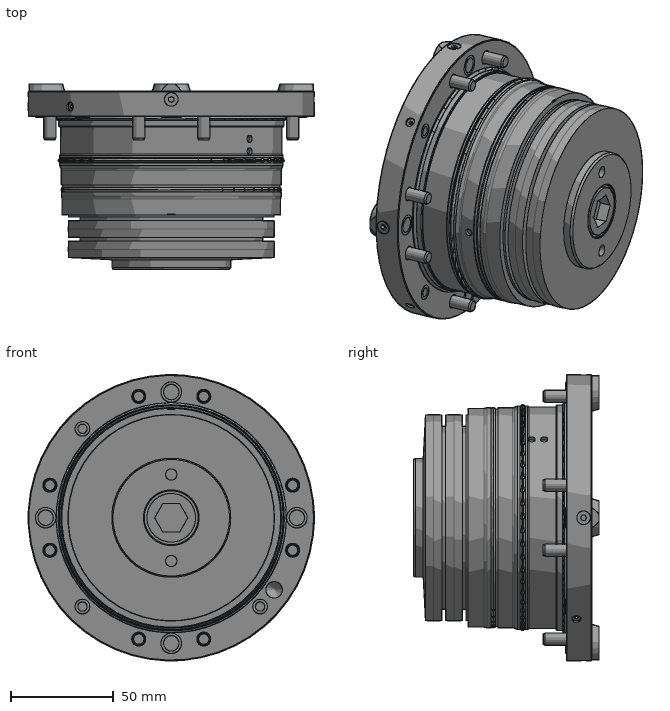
import math

import cadquery as cq


flange_radius = 69.5
flange_thickness = 12.5
flange_chamfer = 0.4
pitch_radius = 61.0

collar_start, collar_end, collar_radius = 1.5, 4.9, 54.8
collar_chamfer = 0.4
body_radius = 53.85
rib_lead_start, rib_start = 18.2, 18.8
rib_end, rib_radius = 23.6, 54.35
rib_foot_end, rib_foot_radius = 25.2, 53.7
middle_start, middle_radius = 26.0, 53.5
front_start, front_radius = 38.6, 53.15
front_lead_length = 1.3
body_end = 47.7
disc_radius = 50.0
disc_crown_radius = 50.15
neck_radius = 44.5
lip_end = 48.8
rear_disc_start, rear_disc_end = 50.5, 58.6
front_disc_start, front_disc_end = 60.4, 68.4
cap_taper = 1.1
hub_radius = 28.9
hub_end = 74.3
hub_chamfer_length, hub_chamfer_width = 1.2, 0.6

base_seal = (0.75, 54.9, 1.0)
rib_seal = (21.2, 54.0, 0.9)
middle_seal = (35.4, 52.3, 1.2)
rib_groove_start, rib_groove_end, rib_groove_radius = 19.9, 22.4, 53.2
middle_groove_start, middle_groove_end, middle_groove_radius = 33.1, 36.6, 52.9

bolt_radius = 3.0
bolt_length = 11.2
bolt_tip_length, bolt_tip_radius = 0.9, 2.5
bolt_half_angle = 15.0
bolt_clearance_radius = 3.4
bolt_clearance_depth = 2.0

cone_base_radius, cone_top_radius = 9.3, 8.2
cone_height = 3.5

face_seal_height = 0.4
large_seal_ring_radius, small_seal_ring_radius = 4.35, 2.9
large_seal_section_radius, small_seal_section_radius = 0.7, 0.75

dimple_radius, dimple_depth, dimple_angle = 4.0, 4.0, -35.0
pin_hole_radius, pin_hole_offset, pin_hole_depth = 2.75, 21.0, 8.0
screw_head_radius, screw_bore_radius = 11.8, 13.1
screw_gap_depth, screw_bore_chamfer = 1.5, 0.4
hex_width, hex_depth = 14.0, 5.5

plug_radius, plug_recess, plug_position = 3.3, 0.5, 8.4
plug_socket_width, plug_socket_depth = 2.5, 2.5
port_radius, port_recess, port_position = 2.2, 1.0, 4.9
port_socket_width, port_socket_depth = 1.6, 3.0
vent_radius, vent_depth = 1.7, 2.0
side_vent_angle, side_vent_position = 180.0, 30.5
pair_vent_angle, pair_vent_positions = 45.0, (10.7, 16.8)

notch_width, notch_length, notch_depth = 3.4, 0.5, 0.6
notch_angle = 90.0

quarter_angles = (0.0, 90.0, 180.0, 270.0)
port_angles = (135.0, 225.0, 315.0)


def on_circle(radius, angle):
    """X and Z of a point on a circle about the part axis."""
    return radius * math.cos(math.radians(angle)), radius * math.sin(math.radians(angle))


def face_plane(forward, angle=0.0, radius=0.0):
    """Plane facing -Y at a distance forward of the mating face."""
    x, z = on_circle(radius, angle)
    return cq.Workplane(cq.Plane(origin=(x, -forward, z), xDir=(1, 0, 0), normal=(0, -1, 0)))


def radial_plane(radius, angle, forward):
    """Plane facing outward at a radius; its local X runs along the part axis."""
    x, z = on_circle(radius, angle)
    ux, uz = on_circle(1.0, angle)
    return cq.Workplane(cq.Plane(origin=(x, -forward, z), xDir=(0, 1, 0), normal=(ux, 0, uz)))


def turned(points):
    """Solid of revolution about Y from (radius, forward distance) points."""
    outline = [(radius, -forward) for radius, forward in points]
    return cq.Workplane("XY").polyline(outline).close().revolve(360, (0, 0), (0, 1))


def ring_groove(start, end, inner_radius, outer_radius):
    return turned([(inner_radius, start), (outer_radius, start), (outer_radius, end), (inner_radius, end)])


def axial_ring(forward, ring_radius, section_radius, x=0.0, z=0.0):
    """Round-section ring whose axis is parallel to Y."""
    return cq.Workplane(
        cq.Solid.makeTorus(ring_radius, section_radius, cq.Vector(x, -forward, z), cq.Vector(0, 1, 0))
    )


def hexagon_socket(plane, width, depth):
    """Hexagonal prism of a given width across flats, sunk below a plane."""
    return plane.polygon(6, width / math.cos(math.pi / 6)).extrude(-depth)


def make_flange():
    inner = flange_radius - flange_chamfer
    return turned([
        (0, 0),
        (inner, 0),
        (flange_radius, -flange_chamfer),
        (flange_radius, flange_chamfer - flange_thickness),
        (inner, -flange_thickness),
        (0, -flange_thickness),
    ])


def make_nose():
    return turned([
        (0, 0),
        (collar_radius - collar_chamfer, 0),
        (collar_radius - collar_chamfer, collar_start),
        (collar_radius, collar_start + collar_chamfer),
        (collar_radius, collar_end - collar_chamfer),
        (collar_radius - collar_chamfer, collar_end),
        (body_radius, collar_end),
        (body_radius, rib_lead_start),
        (rib_radius, rib_start),
        (rib_radius, rib_end),
        (rib_foot_radius, rib_foot_end),
        (middle_radius, middle_start),
        (middle_radius, front_start),
        (front_radius, front_start + front_lead_length),
        (front_radius, body_end),
        (disc_radius, body_end),
        (disc_radius, lip_end),
        (neck_radius, lip_end),
        (neck_radius, rear_disc_start),
        (disc_radius, rear_disc_start),
        (disc_crown_radius, (rear_disc_start + rear_disc_end) / 2),
        (disc_radius, rear_disc_end),
        (neck_radius, rear_disc_end),
        (neck_radius, front_disc_start),
        (disc_radius, front_disc_start),
        (disc_crown_radius, (front_disc_start + front_disc_end) / 2),
        (disc_radius, front_disc_end),
        (hub_radius, front_disc_end + cap_taper),
        (hub_radius, hub_end - hub_chamfer_length),
        (hub_radius - hub_chamfer_width, hub_end),
        (0, hub_end),
    ])


def add_nose_seals(part):
    part = part.cut(ring_groove(rib_groove_start, rib_groove_end, rib_groove_radius, flange_radius))
    part = part.cut(ring_groove(middle_groove_start, middle_groove_end, middle_groove_radius, flange_radius))
    for forward, ring_radius, section_radius in (base_seal, rib_seal, middle_seal):
        part = part.union(axial_ring(forward, ring_radius, section_radius))
    return part


def add_face_seals(part):
    large = (quarter_angles, large_seal_ring_radius, large_seal_section_radius)
    small = (port_angles, small_seal_ring_radius, small_seal_section_radius)
    for angles, ring_radius, section_radius in (large, small):
        centre = face_seal_height - section_radius
        for angle in angles:
            x, z = on_circle(pitch_radius, angle)
            part = part.union(axial_ring(centre, ring_radius, section_radius, x, z))
    return part


def add_bolts(part):
    """Bolt ends standing clear in shallow round recesses, two per quarter."""
    for quarter in quarter_angles:
        for side in (-bolt_half_angle, bolt_half_angle):
            angle = quarter + side
            recess = face_plane(0, angle, pitch_radius).circle(bolt_clearance_radius)
            part = part.cut(recess.extrude(-bolt_clearance_depth))
            shank_length = bolt_clearance_depth + bolt_length - bolt_tip_length
            shank = face_plane(-bolt_clearance_depth, angle, pitch_radius).circle(bolt_radius)
            part = part.union(shank.extrude(shank_length))
            tip = face_plane(bolt_length - bolt_tip_length, angle, pitch_radius).circle(bolt_radius)
            tip = tip.workplane(offset=bolt_tip_length).circle(bolt_tip_radius).loft(ruled=True)
            part = part.union(tip)
    return part


def add_cones(part):
    """Rear locating cones, trimmed to the rim of the flange."""
    rim = ring_groove(
        -flange_thickness - cone_height, -flange_thickness,
        flange_radius - flange_chamfer, flange_radius + cone_base_radius,
    )
    for angle in quarter_angles:
        cone = face_plane(-flange_thickness, angle, pitch_radius).circle(cone_base_radius)
        cone = cone.workplane(offset=-cone_height).circle(cone_top_radius).loft(ruled=True)
        part = part.union(cone.cut(rim))
    return part


def cut_dimple(part):
    x, z = on_circle(pitch_radius, dimple_angle)
    dimple = cq.Solid.makeCone(dimple_radius, 0, dimple_depth, cq.Vector(x, 0, z), cq.Vector(0, 1, 0))
    return part.cut(cq.Workplane(dimple))


def cut_hub(part):
    """Pin holes, gap around the central screw head and its hexagon socket."""
    holes = face_plane(hub_end).pushPoints([(0, pin_hole_offset), (0, -pin_hole_offset)])
    part = part.cut(holes.circle(pin_hole_radius).extrude(-pin_hole_depth))
    part = part.cut(turned([
        (screw_head_radius, hub_end),
        (screw_bore_radius + screw_bore_chamfer, hub_end),
        (screw_bore_radius, hub_end - screw_bore_chamfer),
        (screw_bore_radius, hub_end - screw_gap_depth),
        (screw_head_radius, hub_end - screw_gap_depth),
    ]))
    return part.cut(hexagon_socket(face_plane(hub_end), hex_width, hex_depth))


def cut_radial_socket(part, angle, position, radius, recess, socket_width, socket_depth):
    """Round recess in the flange rim with a small hexagon socket at its floor."""
    rim = radial_plane(flange_radius, angle, position)
    floor = radial_plane(flange_radius - recess, angle, position)
    part = part.cut(rim.circle(radius).extrude(-recess))
    return part.cut(hexagon_socket(floor, socket_width, socket_depth))


def cut_radial_features(part):
    for angle in quarter_angles:
        part = cut_radial_socket(
            part, angle, -plug_position, plug_radius, plug_recess, plug_socket_width, plug_socket_depth
        )
    for angle in port_angles:
        part = cut_radial_socket(
            part, angle, -port_position, port_radius, port_recess, port_socket_width, port_socket_depth
        )
    vents = [(side_vent_angle, side_vent_position)]
    vents += [(pair_vent_angle, position) for position in pair_vent_positions]
    for angle, position in vents:
        part = part.cut(radial_plane(body_radius, angle, position).circle(vent_radius).extrude(-vent_depth))
    return part


def cut_notch(part):
    notch = radial_plane(front_radius, notch_angle, body_end - notch_length / 2)
    return part.cut(notch.rect(notch_length, notch_width).extrude(-notch_depth))


result = make_flange().union(make_nose())
result = add_nose_seals(result)
result = add_face_seals(result)
result = add_bolts(result)
result = add_cones(result)
result = cut_dimple(result)
result = cut_hub(result)
result = cut_radial_features(result)
result = cut_notch(result)